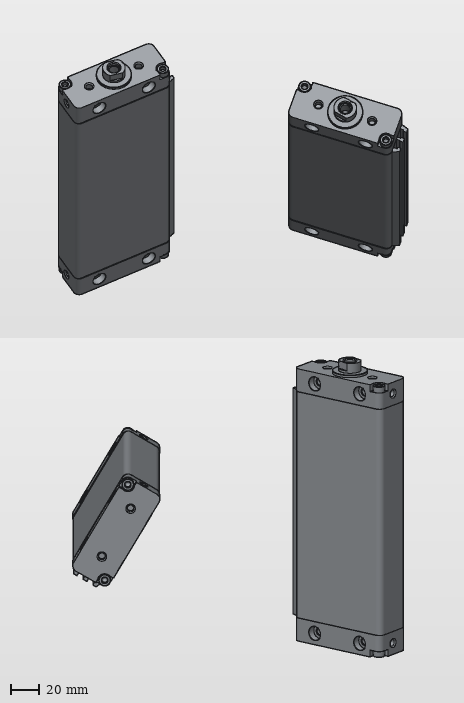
import cadquery as cq
import math

total_length = 210.0
housing_length = 201.0
cap_length = 17.0
barrel_length = housing_length - 2 * cap_length
front_cap_base = housing_length - cap_length

cap_width = 30.0
cap_depth = 76.6
cap_corner_radius = 4.5

barrel_width = 28.8
barrel_overhang = 0.15
barrel_depth = cap_depth + 2 * barrel_overhang
barrel_corner_radius = 4.2

rail_height = 5.0
hook_height = 2.5
middle_head_width = 3.2
middle_stem_width = 1.9
side_rail_foot = 11.1
side_rail_crest = 9.2
side_rail_hook = 6.5
side_rail_stem = 7.5

screw_inset = 4.6
screw_head_diameter = 8.5
screw_head_height = 4.5
screw_head_chamfer = 0.32
socket_diameter = 4.0
socket_mouth_diameter = 4.8
socket_depth = 3.2
pocket_diameter = 9.7
pocket_side_x = 9.0
pocket_side_y = 9.2
pocket_depth = 5.0

hole_offset = 20.0
hole_inset = 8.5
cross_hole_diameter = 4.8
cross_hole_mouth_diameter = 5.9
counterbore_diameter = 10.0
counterbore_mouth_diameter = 10.5
counterbore_depth = 5.7
port_diameter = 4.8
port_mouth_diameter = 6.7
port_depth = 5.2

collar_diameter = 25.0
collar_height = 1.9
collar_chamfer = 0.32
rod_diameter = 16.0
flats_distance = 13.0
flats_length = 5.5
flats_angle = -13.0
rod_recess_diameter = 8.6
rod_recess_mouth_diameter = 10.0
rod_recess_depth = 2.5
rod_thread_diameter = 6.7
rod_thread_depth = 12.5

drill_point_half_angle = 59.0


def blind_hole(diameter, mouth_diameter, depth, point_length=0.0):
    """Hole going down from the origin, with a 45 degree mouth chamfer and a flat or pointed bottom."""
    radius = diameter / 2
    mouth_chamfer = (mouth_diameter - diameter) / 2
    hole = cq.Workplane("XY").circle(radius).extrude(-depth)
    if mouth_chamfer > 0:
        mouth = cq.Solid.makeCone(radius, mouth_diameter / 2, mouth_chamfer, cq.Vector(0, 0, -mouth_chamfer))
        hole = hole.union(cq.Workplane(mouth))
    if point_length > 0:
        point = cq.Solid.makeCone(radius, 0, point_length, cq.Vector(0, 0, -depth), cq.Vector(0, 0, -1))
        hole = hole.union(cq.Workplane(point))
    return hole


def drilled_hole(diameter, mouth_diameter, depth):
    """Blind hole ending in a drill point."""
    point_length = diameter / 2 / math.tan(math.radians(drill_point_half_angle))
    return blind_hole(diameter, mouth_diameter, depth, point_length)


def rounded_block(width, depth, length, corner_radius):
    """Upright block centred on the rod axis, standing on Z = 0."""
    return (
        cq.Workplane("XY")
        .rect(width, depth)
        .extrude(length)
        .edges("|Z")
        .fillet(corner_radius)
    )


def corner_pocket():
    """Recess for one screw head, open to the +X and +Y sides and to the outer end of the cap."""
    axis_x = cap_width / 2 - screw_inset
    axis_y = cap_depth / 2 - screw_inset
    floor = cap_length - pocket_depth
    round_part = (
        cq.Workplane("XY", origin=(axis_x, axis_y, floor)).circle(pocket_diameter / 2).extrude(pocket_depth)
    )
    open_corner = cq.Workplane("XY", origin=(cap_width / 2, cap_depth / 2, floor))
    towards_x = open_corner.rect(2 * screw_inset, 2 * pocket_side_y).extrude(pocket_depth)
    towards_y = open_corner.rect(2 * pocket_side_x, 2 * screw_inset).extrude(pocket_depth)
    return round_part.union(towards_x).union(towards_y)


def screw_head():
    """Socket screw head standing in the pocket of the +X, +Y corner."""
    head = (
        cq.Workplane("XY")
        .circle(screw_head_diameter / 2)
        .extrude(screw_head_height)
        .faces(">Z")
        .chamfer(screw_head_chamfer)
    )
    socket = drilled_hole(socket_diameter, socket_mouth_diameter, socket_depth)
    head = head.cut(socket.translate((0, 0, screw_head_height)))
    return head.translate(
        (cap_width / 2 - screw_inset, cap_depth / 2 - screw_inset, cap_length - pocket_depth)
    )


def cross_hole(offset):
    """Through hole along X, counterbored from both sides; both steps have chamfered mouths."""
    counterbore = blind_hole(counterbore_diameter, counterbore_mouth_diameter, counterbore_depth)
    half_bore = blind_hole(cross_hole_diameter, cross_hole_mouth_diameter, cap_width / 2 - counterbore_depth)
    half_hole = (
        counterbore
        .union(half_bore.translate((0, 0, -counterbore_depth)))
        .translate((0, 0, cap_width / 2))
    )
    hole = half_hole.rotate((0, 0, 0), (0, 1, 0), 90)
    hole = hole.union(half_hole.rotate((0, 0, 0), (0, 1, 0), -90))
    return hole.translate((0, offset, cap_length - hole_inset))


def cap():
    """Cap with its outer end facing +Z; both caps share this shape."""
    block = rounded_block(cap_width, cap_depth, cap_length, cap_corner_radius)
    for turn in (0, 180):
        block = block.cut(corner_pocket().rotate((0, 0, 0), (0, 0, 1), turn))
        block = block.union(screw_head().rotate((0, 0, 0), (0, 0, 1), turn))
    for offset in (-hole_offset, hole_offset):
        block = block.cut(cross_hole(offset))
    port = blind_hole(port_diameter, port_mouth_diameter, port_depth)
    side_port = port.rotate((0, 0, 0), (1, 0, 0), 90)
    block = block.cut(side_port.translate((0, -cap_depth / 2, cap_length - hole_inset)))
    for offset in (-hole_offset, hole_offset):
        block = block.cut(port.translate((0, offset, cap_length)))
    return block


def make_end_cap():
    return cap().mirror("XY").translate((0, 0, cap_length))


def make_front_cap():
    """Cap at the rod end, with a collar and the bore for the rod."""
    collar = cq.Workplane("XY", origin=(0, 0, cap_length)).circle(collar_diameter / 2).extrude(collar_height)
    collar = collar.faces(">Z").chamfer(collar_chamfer)
    bore = cq.Workplane("XY").circle(rod_diameter / 2).extrude(cap_length + collar_height)
    return cap().union(collar).cut(bore).translate((0, 0, front_cap_base))


def rail(outline):
    return cq.Workplane("XY").polyline(outline).close().extrude(barrel_length)


def make_barrel():
    """Barrel between the caps, with a T-shaped rail and two hooked rails on its +Y face."""
    block = rounded_block(barrel_width, barrel_depth, barrel_length, barrel_corner_radius)
    foot = barrel_depth / 2
    crest = foot + rail_height
    hook = crest - hook_height
    half_head = middle_head_width / 2
    half_stem = middle_stem_width / 2
    block = block.union(rail([
        (-half_stem, foot),
        (-half_stem, hook),
        (-half_head, hook),
        (-half_head, crest),
        (half_head, crest),
        (half_head, hook),
        (half_stem, hook),
        (half_stem, foot),
    ]))
    for side in (-1, 1):
        block = block.union(rail([
            (side * side_rail_foot, foot),
            (side * side_rail_crest, crest),
            (side * side_rail_hook, crest),
            (side * side_rail_hook, hook),
            (side * side_rail_stem, hook),
            (side * side_rail_stem, foot),
        ]))
    return block.translate((0, 0, cap_length))


def make_piston_rod():
    """Rod through the front cap, with two wrench flats and a recessed threaded hole in its end."""
    rod_length = total_length - front_cap_base
    rod = cq.Workplane("XY", origin=(0, 0, front_cap_base)).circle(rod_diameter / 2).extrude(rod_length)
    flats_base = cq.Workplane("XY", origin=(0, 0, total_length - flats_length))
    between_flats = flats_base.rect(flats_distance, 2 * rod_diameter).extrude(flats_length)
    around_flats = flats_base.circle(rod_diameter).extrude(flats_length).cut(between_flats)
    rod = rod.cut(around_flats.rotate((0, 0, 0), (0, 0, 1), flats_angle))
    recess = blind_hole(rod_recess_diameter, rod_recess_mouth_diameter, rod_recess_depth)
    thread_hole = drilled_hole(rod_thread_diameter, rod_thread_diameter, rod_thread_depth)
    return rod.cut(recess.union(thread_hole).translate((0, 0, total_length)))


end_cap = make_end_cap()
barrel = make_barrel()
front_cap = make_front_cap()
piston_rod = make_piston_rod()

result = cq.Compound.makeCompound([end_cap.val(), barrel.val(), front_cap.val(), piston_rod.val()])